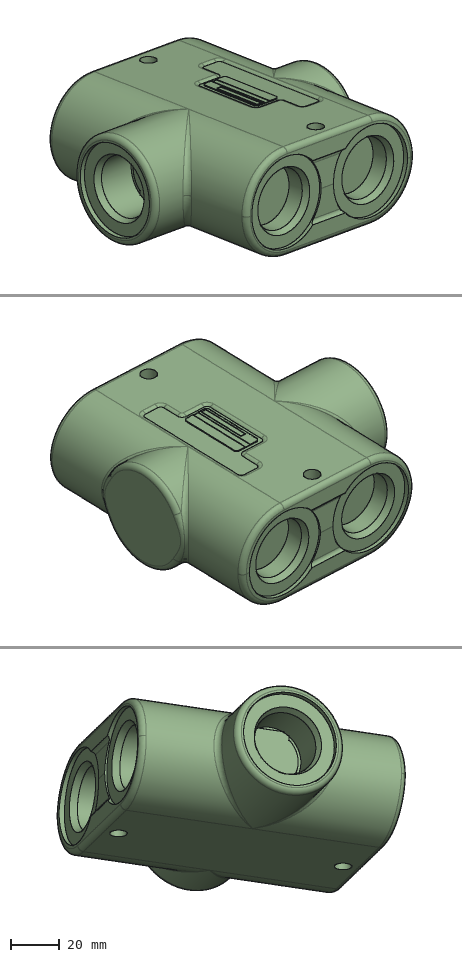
import cadquery as cq
import math

length = 116.9
radius = 23.8
side_offset = 24.1
end_draft = 1.5
edge_round = 2.5
front_y = -66.1
rear_y = 49.2

port_shift = -0.5
port_pitch = 47.7
spotface_radius = 20.3
spotface_depth = 2.3
mouth_radius = 14.7
mouth_depth = 3.0
bore_radius = 13.5
end_port_depth = 10.9
front_port_depth = 19.9

end_recess_height = 28.5
end_recess_width = 23.4
end_recess_depth = 1.4
end_recess_fillet = 1.9

mount_x = 49.2
mount_y = 0.5
mount_radius = 3.57

name_width = 63.1
name_top = 23.9
name_bottom = 9.8
stem_width = 38.1
stem_bottom = -4.5
name_depth = 0.8
name_round = 2.5
name_corner = 3.6
notch_corner = 0.7

label_width = 31.6
label_top = 11.7
label_bottom = -0.9
label_corner = 1.4
label_height = 0.5
label_sink = 0.2
band_top = 6.7
band_bottom = 4.0
box_left = -8.8
box_right = 15.1
box_top = 2.7
box_bottom = 0.2

core_radius = 12.3
core_width = 16.6
core_height = 24.8
core_end_y = 0.0

half_length = length / 2
draft_slope = math.tan(math.radians(end_draft))
end_lean = radius * draft_slope
front_floor_y = front_y + spotface_depth + front_port_depth
name_floor_z = radius - name_depth

clearance = 1.2
tolerance = 0.01


def box_between(x0, x1, y0, y1, z0, z1):
    """Block given by its lower and upper limits."""
    block = cq.Workplane("XY").box(x1 - x0, y1 - y0, z1 - z0, centered=False)
    return block.translate((x0, y0, z0))


def cylinder_y(r, y0, y1):
    """Cylinder on the Y axis, with its seam in the parting plane."""
    cylinder = cq.Solid.makeCylinder(r, y1 - y0, cq.Vector(0, y0, 0), cq.Vector(0, 1, 0))
    return cq.Workplane(cylinder).rotate((0, 0, 0), (0, 1, 0), 90)



def drafted_slab():
    """Long body with round sides; both ends are ridged at the parting plane."""
    sides = (
        cq.Workplane("YZ")
        .slot2D(2 * (side_offset + radius), 2 * radius)
        .extrude(half_length, both=True)
    )
    ends = (
        cq.Workplane("XZ")
        .moveTo(half_length, 0)
        .lineTo(half_length - end_lean, radius)
        .lineTo(-half_length + end_lean, radius)
        .lineTo(-half_length, 0)
        .lineTo(-half_length + end_lean, -radius)
        .lineTo(half_length - end_lean, -radius)
        .close()
        .extrude(side_offset + radius, both=True)
    )
    return sides.intersect(ends)


def is_end_rim(edge):
    """True for the rim of either end, but not for the ridge at the parting plane."""
    box = edge.BoundingBox()
    at_an_end = min(abs(box.xmin), abs(box.xmax)) > half_length - 2 * end_lean
    in_parting_plane = max(abs(box.zmin), abs(box.zmax)) < tolerance
    return at_an_end and not in_parting_plane


def rounded_slab():
    slab = drafted_slab()
    rims = [edge for edge in slab.edges().vals() if is_end_rim(edge)]
    return slab.newObject(rims).fillet(edge_round)


def outer_shape():
    """Slab with a boss at the front and a short one at the rear, all with rounded edges."""
    overlong_y = -front_y
    reach = 2 * radius
    shape = rounded_slab().union(cylinder_y(radius, front_y, overlong_y))
    roots = [edge for edge in shape.edges("%ELLIPSE").vals() if abs(edge.Center().x) < radius]
    shape = shape.newObject(roots).fillet(edge_round)
    shape = shape.faces("<Y").edges().fillet(edge_round)
    shape = shape.cut(box_between(-reach, reach, rear_y, overlong_y + clearance, -reach, reach))
    return shape.faces(">Y").edges().fillet(edge_round)



def port(depth):
    """Cutter going up from Z = 0: spotface, tapered mouth and plain bore."""
    floor = spotface_depth + depth
    return (
        cq.Workplane("XZ")
        .moveTo(0, -clearance)
        .lineTo(spotface_radius, -clearance)
        .lineTo(spotface_radius, spotface_depth)
        .lineTo(mouth_radius, spotface_depth)
        .lineTo(bore_radius, spotface_depth + mouth_depth)
        .lineTo(bore_radius, floor)
        .lineTo(0, floor)
        .close()
        .revolve(360, (0, 0, 0), (0, 1, 0))
    )


def front_port():
    return port(front_port_depth).rotate((0, 0, 0), (1, 0, 0), -90).translate((0, front_y, 0))


def end_port(end, row):
    """Port in the +X or -X end (end = 1 or -1), in the rear or front row (row = 1 or -1)."""
    y = port_shift + row * port_pitch / 2
    turned = port(end_port_depth).rotate((0, 0, 0), (0, 1, 0), -90 * end)
    return turned.translate((end * half_length, y, 0))


def end_recess():
    """Cutter for the recess in the -X end; its floor is ridged like the end itself."""
    half_height = end_recess_height / 2
    outside_x = -half_length - clearance
    ridge_x = -half_length + end_recess_depth
    edge_x = ridge_x + half_height * draft_slope
    block = (
        cq.Workplane("XZ")
        .moveTo(outside_x, -half_height)
        .lineTo(edge_x, -half_height)
        .lineTo(ridge_x, 0)
        .lineTo(edge_x, half_height)
        .lineTo(outside_x, half_height)
        .close()
        .extrude(end_recess_width / 2, both=True)
    )
    floor_edges = block.edges("|Y and >X")
    return floor_edges.fillet(end_recess_fillet).translate((0, port_shift, 0))



def mounting_holes():
    return (
        cq.Workplane("XY")
        .pushPoints([(-mount_x, mount_y), (mount_x, mount_y)])
        .circle(mount_radius)
        .extrude(radius + clearance, both=True)
    )


def is_notch(edge):
    """True for the upright edges at the two inward corners of the T-shaped well."""
    x, y, _ = edge.Center().toTuple()
    return abs(y - (name_bottom + name_round)) < tolerance and abs(x) < stem_width / 2


def name_well():
    """T-shaped block, smaller than the recess all round by the round of its edge."""
    half_name = name_width / 2 - name_round
    half_stem = stem_width / 2 - name_round
    rear = name_top - name_round
    bottom_z = radius - 2 * name_round
    well = box_between(-half_name, half_name, name_bottom + name_round, rear, bottom_z, radius)
    stem = box_between(-half_stem, half_stem, stem_bottom + name_round, rear, bottom_z, radius)
    well = well.union(stem)
    notches = [edge for edge in well.edges("|Z").vals() if is_notch(edge)]
    well = well.newObject(notches).fillet(notch_corner + name_round)
    uprights = well.edges("|Z").vals()
    corners = [edge for edge in uprights if abs(edge.Center().x) > half_name - tolerance
               or edge.Center().y < stem_bottom + name_round + tolerance]
    return well.newObject(corners).fillet(name_corner - name_round)


def name_recess():
    """Cutter whose side flares out to meet the top surface tangentially."""
    reach = name_width
    mould = box_between(-reach, reach, -reach, reach, radius - 3 * name_round, radius)
    mould = mould.cut(name_well())
    mouth = mould.faces(">Z").wires(cq.selectors.LengthNthSelector(0)).edges()
    mould = mould.newObject(mouth.vals()).fillet(name_round)
    above_floor = box_between(-reach, reach, -reach, reach, name_floor_z, radius)
    return above_floor.cut(mould)


def label():
    """Raised label with a sunk band and a sunk box."""
    half = label_width / 2
    top_z = name_floor_z + label_height
    sunk_z = top_z - label_sink
    plate = box_between(-half, half, label_bottom, label_top, name_floor_z, top_z)
    plate = plate.edges("|Z").fillet(label_corner)
    plate = plate.cut(box_between(-half, half, band_bottom, band_top, sunk_z, top_z))
    return plate.cut(box_between(box_left, box_right, box_bottom, box_top, sunk_z, top_z))



def make_core():
    """Drum crossed by a block, filling the passage behind the front port."""
    half_width = core_width / 2
    half_height = core_height / 2
    drum = cylinder_y(core_radius, front_floor_y, core_end_y)
    block = box_between(
        -half_width, half_width, front_floor_y, core_end_y, -half_height, half_height
    )
    return drum.union(block)


def make_housing(core):
    """Valve body with its ports, recesses and holes, and a cavity that fits the core."""
    housing = outer_shape().cut(front_port())
    for end in (-1, 1):
        for row in (-1, 1):
            housing = housing.cut(end_port(end, row))
    housing = housing.cut(end_recess()).cut(end_recess().mirror("YZ"))
    housing = housing.cut(mounting_holes())
    housing = housing.cut(name_recess()).union(label())
    return housing.cut(core)


core = make_core()
housing = make_housing(core)
result = cq.Compound.makeCompound([housing.val(), core.val()])